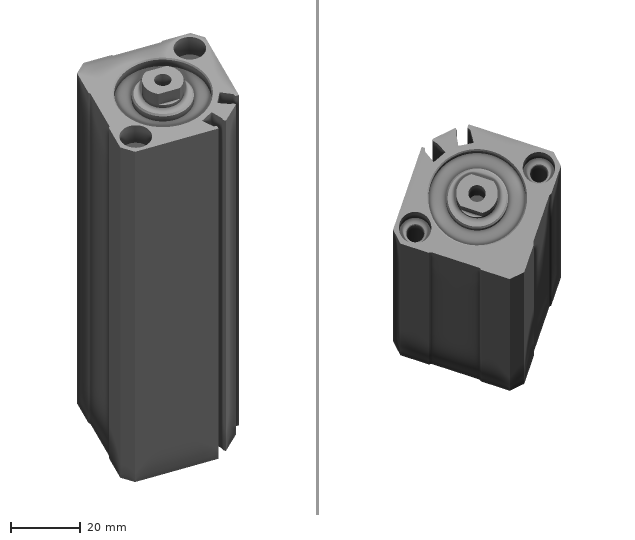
import cadquery as cq
import math

width = 40.0
half = width / 2
housing_height = 132.5
corner_chamfer = 3.3

relief_depth = 0.4
relief_mouth = 8.0
relief_floor = 7.3

slot_lip_x = 9.3
slot_lip = (slot_lip_x, half)
slot_lip_inner = (slot_lip_x, 18.95)
slot_wall_top = (8.3, 18.6)
slot_floor_outer = (6.1, 15.25)
slot_floor_inner = (10.0, 12.95)
rib_flank_end = (11.75, 16.2)
rib_side = (11.95, 17.25)
rib_tip = (12.5, 17.8)

mount_circle_diameter = 40.0
mount_offset = mount_circle_diameter / 2 * math.sqrt(0.5)
mount_diameter = 5.1
mount_chamfer = 0.25
counterbore_diameter = 9.4
counterbore_depth = 7.0

recess_diameter = 28.2
recess_depth = 3.0
recess_chamfer = 0.4
guide_diameter = 18.0
guide_drop = 0.5
guide_chamfer = 0.5

rod_diameter = 12.0
rod_projection = 5.0
rod_socket_depth = 20.0
flat_width = 10.0
flat_length = 4.3
thread_diameter = 5.0
thread_depth = 12.0


def mirror_on_diagonal(point):
    """Swap X and Y, giving the matching point of the slot nearest +X."""
    return (point[1], point[0])


def housing_outline():
    """Square with three chamfered corners, two reliefs and a slotted corner, mirrored about x = y."""
    inset = half - corner_chamfer
    relief_level = -half + relief_depth
    upper_left = [
        (-half, -inset),
        (-half, -relief_mouth),
        (relief_level, -relief_floor),
        (relief_level, relief_floor),
        (-half, relief_mouth),
        (-half, inset),
        (-inset, half),
        slot_lip,
        slot_lip_inner,
        slot_wall_top,
        slot_floor_outer,
        slot_floor_inner,
        rib_flank_end,
        rib_side,
        rib_tip,
    ]
    lower_right = [mirror_on_diagonal(point) for point in reversed(upper_left)]
    return upper_left + lower_right


def mounting_hole():
    """Counterbored through hole about the Z axis, as the solid to remove."""
    hole_radius = mount_diameter / 2
    bore_radius = counterbore_diameter / 2
    bore_floor = housing_height - counterbore_depth
    profile = [
        (0, 0),
        (hole_radius, 0),
        (hole_radius, bore_floor - mount_chamfer),
        (hole_radius + mount_chamfer, bore_floor),
        (bore_radius, bore_floor),
        (bore_radius, housing_height),
        (0, housing_height),
    ]
    return cq.Workplane("XZ").polyline(profile).close().revolve(360, (0, 0, 0), (0, 1, 0))


def make_housing():
    body = cq.Workplane("XY").polyline(housing_outline()).close().extrude(housing_height)

    for side in (-1, 1):
        body = body.cut(mounting_hole().translate((side * mount_offset, -side * mount_offset, 0)))

    recess_floor = housing_height - recess_depth
    recess_radius = recess_diameter / 2
    recess = cq.Workplane("XY").workplane(offset=recess_floor).circle(recess_radius).extrude(recess_depth)
    rim_cone = cq.Workplane(
        cq.Solid.makeCone(
            recess_radius,
            recess_radius + recess_chamfer,
            recess_chamfer,
            cq.Vector(0, 0, housing_height - recess_chamfer),
        )
    )
    body = body.cut(recess).cut(rim_cone)

    guide = (
        cq.Workplane("XY")
        .workplane(offset=recess_floor)
        .circle(guide_diameter / 2)
        .extrude(recess_depth - guide_drop)
        .faces(">Z")
        .chamfer(guide_chamfer)
    )
    body = body.union(guide)

    socket = (
        cq.Workplane("XY")
        .workplane(offset=housing_height - rod_socket_depth)
        .circle(rod_diameter / 2)
        .extrude(rod_socket_depth)
    )
    return body.cut(socket)


def make_rod():
    rod_top = housing_height + rod_projection
    rod = (
        cq.Workplane("XY")
        .workplane(offset=housing_height - rod_socket_depth)
        .circle(rod_diameter / 2)
        .extrude(rod_socket_depth + rod_projection)
    )

    flat_cut = (
        cq.Workplane("XY")
        .workplane(offset=rod_top - flat_length)
        .rect(rod_diameter, rod_diameter)
        .rect(flat_width, rod_diameter)
        .extrude(flat_length)
    )
    rod = rod.cut(flat_cut)

    thread_hole = (
        cq.Workplane("XY")
        .workplane(offset=rod_top - thread_depth)
        .circle(thread_diameter / 2)
        .extrude(thread_depth)
    )
    return rod.cut(thread_hole)


housing = make_housing()
rod = make_rod()
result = cq.Compound.makeCompound([housing.val(), rod.val()])